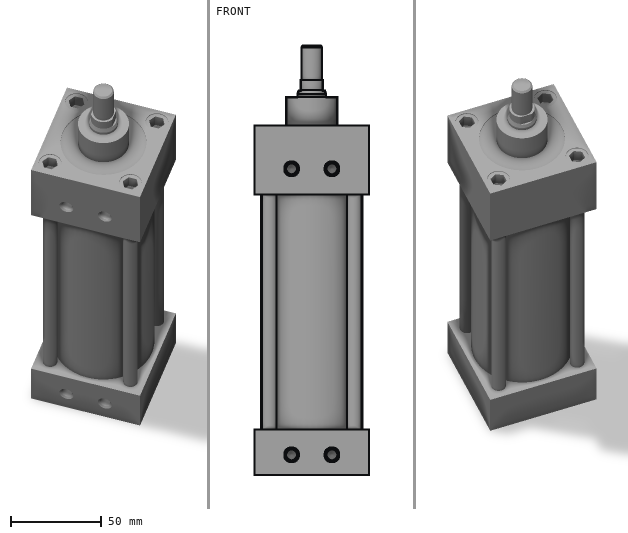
import cadquery as cq
import math

BASE_TOP_Z = 25.2
HEAD_BOTTOM_Z = 155.5
HEAD_TOP_Z = 193.8
BOSS_TOP_Z = 209.5
SHOULDER_BOTTOM_Z = 211.2
FLATS_BOTTOM_Z = 213.0
SHOULDER_TOP_Z = 213.5
COLLAR_TOP_Z = 219.0
TOTAL_HEIGHT = 238.1

BLOCK_SIDE = 63.5
BARREL_DIAMETER = 56.5
TIE_ROD_DIAMETER = 8.0
TIE_ROD_SPACING = 47.0

BOSS_DIAMETER = 28.3
BOSS_RECESS_DIAMETER = 47.6
SCREW_RECESS_DIAMETER = 12.6
RECESS_DEPTH = 0.5
RECESS_FLOOR_Z = HEAD_TOP_Z - RECESS_DEPTH

HEXAGON_SIDES = 6
SOCKET_ACROSS_FLATS = 7.9
SOCKET_DRILL_DIAMETER = 7.0
SOCKET_ACROSS_CORNERS = SOCKET_ACROSS_FLATS / math.cos(math.pi / HEXAGON_SIDES)
SOCKET_DEPTH = 7.1

PORT_DIAMETER = 6.2
PORT_MOUTH_DIAMETER = 8.0
PORT_DEPTH = 14.3
PORT_SPACING = 22.5
BASE_PORT_Z = 11.2
HEAD_PORT_Z = 169.8
DRILL_POINT_ANGLE = 118.0

ROD_DIAMETER = 16.0
COLLAR_DIAMETER = 14.0
COLLAR_ACROSS_FLATS = 12.5
ROD_END_DIAMETER = 11.5
ROD_END_CHAMFER = 1.0


def level(z):
    """Horizontal workplane at height z, centred on the cylinder's axis."""
    return cq.Workplane("XY").workplane(offset=z)


def upright_cylinder(diameter, bottom_z, top_z):
    return level(bottom_z).circle(diameter / 2).extrude(top_z - bottom_z)


def square_block(bottom_z, top_z):
    return level(bottom_z).rect(BLOCK_SIDE, BLOCK_SIDE).extrude(top_z - bottom_z)


def at_tie_rods(plane):
    """Put a point on the plane at each of the four tie-rod axes."""
    return plane.rect(TIE_ROD_SPACING, TIE_ROD_SPACING, forConstruction=True).vertices()


def turned(profile):
    """Solid of revolution about Z from (radius, z) points."""
    return cq.Workplane("XZ").polyline(profile).close().revolve(360, (0, 0, 0), (0, 1, 0))


def drilled_hole(diameter, depth):
    """Cutter going down from the origin: straight bore ending in a drill point."""
    radius = diameter / 2
    point_height = radius / math.tan(math.radians(DRILL_POINT_ANGLE / 2))
    return turned([(0, 0), (radius, 0), (radius, -depth), (0, -depth - point_height)])


def housing_shell():
    """Base, barrel, tie rods and head joined together."""
    tie_rods = at_tie_rods(level(BASE_TOP_Z)).circle(TIE_ROD_DIAMETER / 2).extrude(HEAD_BOTTOM_Z - BASE_TOP_Z)
    return (
        square_block(0, BASE_TOP_Z)
        .union(upright_cylinder(BARREL_DIAMETER, BASE_TOP_Z, HEAD_BOTTOM_Z))
        .union(tie_rods)
        .union(square_block(HEAD_BOTTOM_Z, HEAD_TOP_Z))
    )


def head_recesses():
    """Shallow cutter around the boss and over each tie rod."""
    around_boss = upright_cylinder(BOSS_RECESS_DIAMETER, RECESS_FLOOR_Z, HEAD_TOP_Z)
    over_rods = at_tie_rods(level(RECESS_FLOOR_Z)).circle(SCREW_RECESS_DIAMETER / 2).extrude(RECESS_DEPTH)
    return around_boss.union(over_rods)


def hexagon_sockets():
    """Hexagon cutters with a drill point below the floor, one above each tie rod."""
    hexagon = cq.Workplane("XY").polygon(HEXAGON_SIDES, SOCKET_ACROSS_CORNERS).extrude(-SOCKET_DEPTH)
    drilling = drilled_hole(SOCKET_DRILL_DIAMETER, SOCKET_DEPTH)
    socket = hexagon.union(drilling).val()
    return at_tie_rods(level(RECESS_FLOOR_Z)).eachpoint(lambda place: socket.moved(place))


def port_holes():
    """Two drilled cutters with 45 degree countersinks into the -Y face at each port height."""
    mouth_radius = PORT_MOUTH_DIAMETER / 2
    countersink = turned([(0, 0), (mouth_radius, 0), (0, -mouth_radius)])
    drilling = drilled_hole(PORT_DIAMETER, PORT_DEPTH)
    port = drilling.union(countersink).rotate((0, 0, 0), (1, 0, 0), 90)
    ports = cq.Workplane("XY")
    for z in (BASE_PORT_Z, HEAD_PORT_Z):
        for x in (-PORT_SPACING / 2, PORT_SPACING / 2):
            ports = ports.add(port.translate((x, -BLOCK_SIDE / 2, z)))
    return ports.combine()


def make_housing():
    return (
        housing_shell()
        .cut(head_recesses())
        .union(upright_cylinder(BOSS_DIAMETER, RECESS_FLOOR_Z, BOSS_TOP_Z))
        .cut(hexagon_sockets().combine())
        .cut(port_holes())
    )


def wrench_flats():
    """Cutter that leaves two flats on the collar, facing -X and +X."""
    outside = 2 * ROD_DIAMETER
    return (
        level(FLATS_BOTTOM_Z)
        .rect(outside, outside)
        .rect(COLLAR_ACROSS_FLATS, outside)
        .extrude(COLLAR_TOP_Z - FLATS_BOTTOM_Z)
    )


def make_piston_rod():
    """Rod standing on the boss: conical shoulder, flatted collar and slimmer chamfered end."""
    collar = turned([
        (0, BOSS_TOP_Z),
        (ROD_DIAMETER / 2, BOSS_TOP_Z),
        (ROD_DIAMETER / 2, SHOULDER_BOTTOM_Z),
        (COLLAR_DIAMETER / 2, SHOULDER_TOP_Z),
        (COLLAR_DIAMETER / 2, COLLAR_TOP_Z),
        (0, COLLAR_TOP_Z),
    ])
    rod_end = upright_cylinder(ROD_END_DIAMETER, COLLAR_TOP_Z, TOTAL_HEIGHT)
    rod_end = rod_end.faces(">Z").chamfer(ROD_END_CHAMFER)
    return collar.cut(wrench_flats()).union(rod_end)


housing = make_housing()
piston_rod = make_piston_rod()

result = cq.Compound.makeCompound([housing.val(), piston_rod.val()])